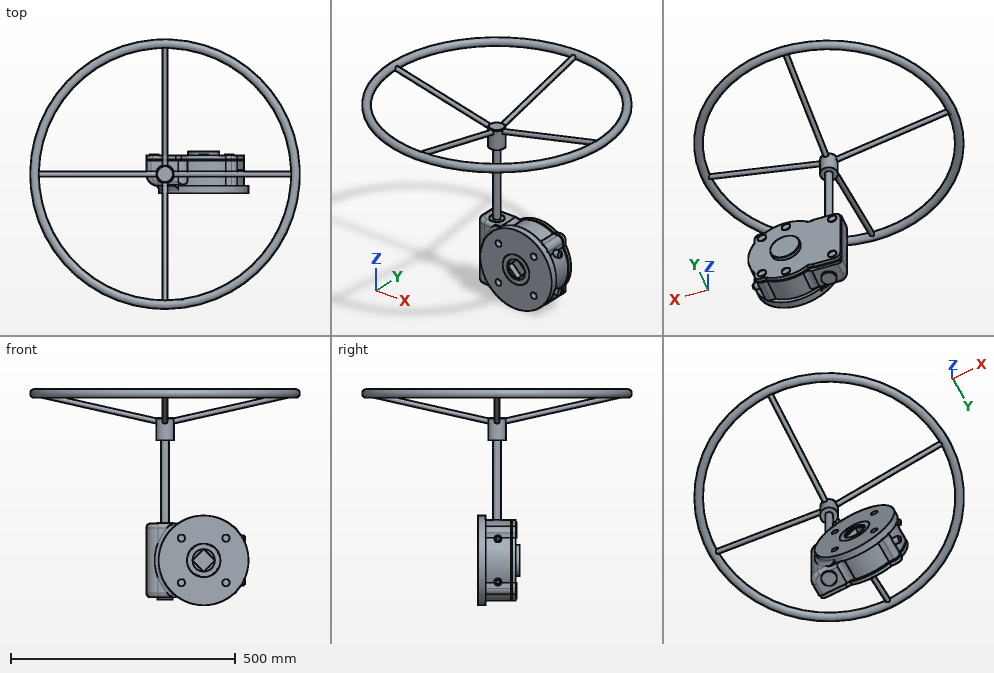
import math

import cadquery as cq


wheel_diameter = 600.0
rim_tube_diameter = 20.0
rim_radius = (wheel_diameter - rim_tube_diameter) / 2
rim_z = 371.0
spoke_diameter = 12.0
spoke_count = 4
spoke_axis_z = 305.5
spoke_slope = (rim_z - spoke_axis_z) / rim_radius
spoke_embed = 6.0
hub_diameter = 40.0
hub_height = 50.0
hub_top = 317.0
hub_bottom = hub_top - hub_height
hub_chamfer = 2.5

gear_x = 86.0
gear_case_diameter = 180.0
worm_box_left = -41.5
worm_box_half_height = 82.5
worm_box_corner = 10.0
worm_box_front_round = 25.0
scallop_radius = 20.0
scallop_x = gear_x - 46.5
lug_right = 161.0
lug_half_height = 75.8
lug_corner = 14.0

cover_box_half_height = 75.0
cover_box_corner = 13.0
cover_scallop_radius = 11.0
cover_scallop_x = gear_x - 56.2

flange_diameter = 200.0
flange_thickness = 17.0
flange_front = -42.5
flange_back = flange_front + flange_thickness
housing_back = 30.0
gasket_thickness = 3.4
gasket_back = housing_back + gasket_thickness
cover_back = 42.0

blend_radius = 9.0
blend_overlap = 2.0
blend_right = 30.0

bolt_circle = 140.0
bolt_count = 4
bolt_hole_diameter = 16.0

pad_diameter = 20.0
pad_height = 2.0
pad_positions = [(-23.5, 60.0), (gear_x, 75.0), (143.0, 60.0)]

gear_bore_diameter = 75.0
gear_hub_diameter = 74.0
gear_back_diameter = 70.0
gear_back = 51.0
gear_back_chamfer = 1.0
recess_diameter = 50.0
recess_depth = 4.0
square_size = 36.0
square_depth = 20.0

plug_diameter = 35.0
plug_seat = 15.0
plug_proud = 5.0
shaft_diameter = 18.0
shaft_socket_depth = 30.0
shaft_top = hub_bottom + shaft_socket_depth
shaft_bottom = -worm_box_half_height + plug_seat
journal_diameter = 35.0
journal_length = 15.0
journal_proud = 1.5
journal_top = worm_box_half_height + journal_proud

stop_diameter = 16.0
stop_start = 141.0
stop_end = 178.5
stop_chamfer = 4.0
stop_y = 2.0
stop_z = 48.0


def cylinder_y(x, z, diameter, y_start, y_end):
    """Cylinder parallel to Y."""
    plane = cq.Plane(origin=(x, y_start, z), xDir=(1, 0, 0), normal=(0, 1, 0))
    return cq.Workplane(plane).circle(diameter / 2).extrude(y_end - y_start)


def cylinder_z(diameter, z_start, z_end):
    """Cylinder on the worm shaft axis."""
    return cq.Workplane("XY").workplane(offset=z_start).circle(diameter / 2).extrude(z_end - z_start)


def slab(x_start, x_end, y_start, y_end, half_height):
    """Box centred on Z = 0."""
    size = (x_end - x_start, y_end - y_start, 2 * half_height)
    box = cq.Workplane("XY").box(*size, centered=(False, False, True))
    return box.translate((x_start, y_start, 0))


def worm_box_block(y_front):
    """Worm box up to the gear axis, with a large front corner round and rounded edges around it."""
    block = slab(worm_box_left, gear_x, y_front, housing_back, worm_box_half_height)
    block = block.edges("|Z and <X and <Y").fillet(worm_box_front_round)
    return block.edges("(|Y and <X) or (<Y and #Z) or %CIRCLE").fillet(worm_box_corner)


def cover_box_block(y_start, y_end):
    """Lower box behind the worm box, up to the gear axis."""
    block = slab(worm_box_left, gear_x, y_start, y_end, cover_box_half_height)
    return block.edges("|Y and <X").fillet(cover_box_corner)


def gearbox_outline(box, notch_x, notch_radius, y_start, y_end):
    """Box and lugs joined by the round gear case, with scallops running tangent into the case."""
    case_radius = gear_case_diameter / 2
    notch_z = math.sqrt((case_radius + notch_radius) ** 2 - (notch_x - gear_x) ** 2)
    lugs = slab(gear_x, lug_right, y_start, y_end, lug_half_height)
    body = box.union(lugs.edges("|Y and >X").fillet(lug_corner))
    for side in (1, -1):
        body = body.cut(cylinder_y(notch_x, side * notch_z, 2 * notch_radius, y_start, y_end))
    return body.union(cylinder_y(gear_x, 0, gear_case_diameter, y_start, y_end))


def make_flange_blend():
    """Concave ring around the flange edge, kept only in front of the worm box."""
    inner = flange_diameter / 2
    outer = inner + blend_radius
    tip = flange_back - blend_radius
    sagitta = blend_radius * (1 - math.sqrt(0.5))
    ring = (
        cq.Workplane("XY")
        .moveTo(inner - blend_overlap, tip)
        .lineTo(inner, tip)
        .threePointArc((inner + sagitta, flange_back - sagitta), (outer, flange_back))
        .lineTo(outer, flange_back + blend_overlap)
        .lineTo(inner - blend_overlap, flange_back + blend_overlap)
        .close()
        .revolve(360, (0, 0, 0), (0, 1, 0))
        .translate((gear_x, 0, 0))
    )
    window = slab(worm_box_left, blend_right, flange_front, housing_back, worm_box_half_height)
    return ring.intersect(worm_box_block(flange_front)).intersect(window)


def make_housing():
    """Gearbox housing with its mounting flange, gear bore and bolt holes."""
    housing = gearbox_outline(
        worm_box_block(flange_back), scallop_x, scallop_radius, flange_back, housing_back
    )
    housing = housing.union(cylinder_y(gear_x, 0, flange_diameter, flange_front, flange_back))
    housing = housing.union(make_flange_blend())
    housing = housing.cut(cylinder_y(gear_x, 0, gear_bore_diameter, flange_front, housing_back))
    for i in range(bolt_count):
        angle = 2 * math.pi * (i + 0.5) / bolt_count
        x = gear_x + bolt_circle / 2 * math.cos(angle)
        z = bolt_circle / 2 * math.sin(angle)
        housing = housing.cut(cylinder_y(x, z, bolt_hole_diameter, flange_front, flange_back))
    return housing


def make_cover_plate(y_start, y_end):
    """Plate with the cover outline and a hole for the back of the gear."""
    box = cover_box_block(y_start, y_end)
    plate = gearbox_outline(box, cover_scallop_x, cover_scallop_radius, y_start, y_end)
    return plate.cut(cylinder_y(gear_x, 0, gear_back_diameter, y_start, y_end))


def make_cover():
    """Back cover with raised round pads."""
    cover = make_cover_plate(gasket_back, cover_back)
    for x, z in pad_positions:
        for side in (1, -1):
            pad = cylinder_y(x, side * z, pad_diameter, cover_back, cover_back + pad_height)
            cover = cover.union(pad)
    return cover.cut(cylinder_y(gear_x, 0, gear_back_diameter, gasket_back, gear_back))


def make_gear():
    """Gear hub with a round recess and a blind square socket standing on its corner."""
    back = cylinder_y(gear_x, 0, gear_back_diameter, housing_back, gear_back)
    back = back.faces(">Y").chamfer(gear_back_chamfer)
    recess = cylinder_y(gear_x, 0, recess_diameter, flange_front, flange_front + recess_depth)
    square = (
        cq.Workplane("XY")
        .box(square_size, square_depth, square_size)
        .rotate((0, 0, 0), (0, 1, 0), 45)
        .translate((gear_x, flange_front + square_depth / 2, 0))
    )
    hub = cylinder_y(gear_x, 0, gear_hub_diameter, flange_front, housing_back)
    return hub.union(back).cut(recess).cut(square)


def make_handwheel():
    """Rim, hub and sloping spokes, with a blind socket for the shaft."""
    tube = cq.Workplane("XZ").center(rim_radius, rim_z).circle(rim_tube_diameter / 2)
    rim = tube.revolve(360, (-rim_radius, 0, 0), (-rim_radius, 1, 0))
    wheel = rim.rotate((0, 0, 0), (0, 0, 1), 180 / spoke_count)
    spoke = cq.Workplane(
        cq.Solid.makeCylinder(
            spoke_diameter / 2,
            (rim_radius - 2 * spoke_embed) * math.hypot(1, spoke_slope),
            cq.Vector(spoke_embed, 0, spoke_axis_z + spoke_slope * spoke_embed),
            cq.Vector(1, 0, spoke_slope),
        )
    )
    for i in range(spoke_count):
        turned = spoke.rotate((0, 0, 0), (0, 0, 1), i * 360 / spoke_count)
        wheel = wheel.union(turned, clean=False)
    hub = cylinder_z(hub_diameter, hub_bottom, hub_top).faces(">Z").chamfer(hub_chamfer)
    wheel = wheel.union(hub, clean=False)
    return wheel.cut(cylinder_z(shaft_diameter, hub_bottom, shaft_top), clean=False)


def make_shaft():
    """Worm shaft with the journal that closes the top of the worm box."""
    journal = cylinder_z(journal_diameter, journal_top - journal_length, journal_top)
    return cylinder_z(shaft_diameter, shaft_bottom, shaft_top).union(journal)


def make_plug():
    """Plug closing the bottom of the worm box, below the shaft."""
    return cylinder_z(plug_diameter, -worm_box_half_height - plug_proud, shaft_bottom)


def make_stop_screw(side):
    """Stop screw along X with a chamfered end; side is +1 or -1 in Z."""
    plane = cq.Plane(origin=(stop_start, stop_y, side * stop_z), normal=(1, 0, 0))
    screw = cq.Workplane(plane).circle(stop_diameter / 2).extrude(stop_end - stop_start)
    return screw.faces(">X").chamfer(stop_chamfer)


handwheel = make_handwheel()
shaft = make_shaft()
plug = make_plug()
stop_screws = [make_stop_screw(side) for side in (1, -1)]
gear = make_gear()
gasket = make_cover_plate(housing_back, gasket_back)
cover = make_cover()

housing = make_housing()
for insert in (shaft, plug, *stop_screws):
    housing = housing.cut(insert)

bodies = [handwheel, shaft, plug, *stop_screws, gear, gasket, cover, housing]
result = cq.Compound.makeCompound([body.val() for body in bodies])